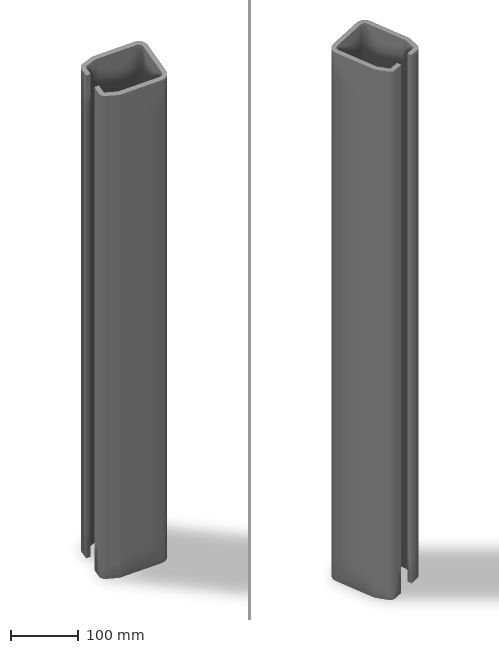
import cadquery as cq
import math

WIDTH = 90.0
DEPTH = 110.0
LENGTH = 1000.0

WALL = 7.5
BACK_RADIUS = 15.0
SHOULDER_RADIUS = 15.0
LIP_RADIUS = 10.0
LEAN_ANGLE = 20.0
LEAN_DEPTH = 26.0
SLOT_WIDTH = 27.0

half_width = WIDTH / 2
back_y = DEPTH / 2
front_y = -DEPTH / 2
lean_y = front_y + LEAN_DEPTH
lip_half_width = half_width - LEAN_DEPTH * math.tan(math.radians(LEAN_ANGLE))


def closed_bar():
    """Solid bar with the rounded outer outline of the rail."""
    right_corners = [
        (lip_half_width, front_y),
        (half_width, lean_y),
        (half_width, back_y),
    ]
    left_corners = [(-x, y) for x, y in reversed(right_corners)]
    bar = cq.Workplane("XY").polyline(right_corners + left_corners).close().extrude(LENGTH)
    corner_radii = [
        (half_width, back_y, BACK_RADIUS),
        (half_width, lean_y, SHOULDER_RADIUS),
        (lip_half_width, front_y, LIP_RADIUS),
    ]
    for x, y, radius in corner_radii:
        for side in (-1, 1):
            edge = bar.edges(cq.selectors.NearestToPointSelector((side * x, y, LENGTH / 2)))
            bar = edge.fillet(radius)
    return bar


def hollow(bar):
    """Open both ends, leaving a wall of even thickness inside the outline."""
    return bar.faces("<Z or >Z").shell(-WALL)


def front_slot():
    """Full-length opening between the two lips."""
    slot = cq.Workplane("XY").box(SLOT_WIDTH, LEAN_DEPTH, LENGTH, centered=(True, False, False))
    return slot.translate((0, front_y, 0))


result = hollow(closed_bar()).cut(front_slot())